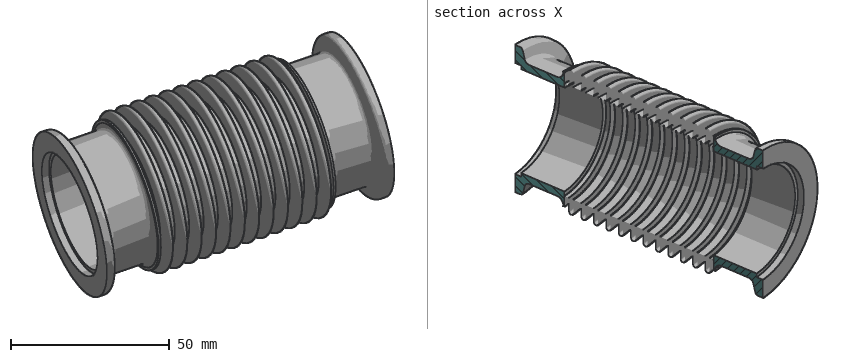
import cadquery as cq
import math

total_length = 100.0
fitting_length = 20.0
bellows_length = total_length - 2 * fitting_length

bore_diameter = 38.5
seat_diameter = 41.2
seat_depth = 2.5
flange_diameter = 55.0
flange_rim_width = 3.0
flange_back_angle = 15.0
flange_edge_radius = 1.5
flange_root_radius = 1.5
neck_diameter = 44.5
collar_diameter = 50.0
collar_width = 0.75
collar_cone_diameter = 48.0
collar_back_angle = 30.0
collar_root_radius = 1.8

wall = 0.15
root_diameter = 42.0
crest_diameter = 54.0
fold_count = 12
fold_width = 2.0
fold_pitch = bellows_length / fold_count
fold_offset = 0.15


def ring_edges(radius, distance):
    """Selector box catching the circular edges of a given radius at a given place along Y."""
    margin = 0.05
    reach = radius + margin
    return cq.selectors.BoxSelector(
        (-reach, distance - margin, -reach),
        (reach, distance + margin, reach),
        boundingbox=True,
    )


def along_y(diameter, length):
    """Plain cylinder from Y = 0 toward +Y."""
    return cq.Workplane("XZ").circle(diameter / 2).extrude(-length)


def cone_rise(radial_run, angle):
    """Distance along Y that a cone climbs over a radial run, its angle being to the radial."""
    return radial_run * math.tan(math.radians(angle))


def make_fitting():
    """End fitting with its mouth at Y = 0, reaching to +Y."""
    neck = neck_diameter / 2
    flange = flange_diameter / 2
    collar = collar_diameter / 2
    cone_end = collar_cone_diameter / 2
    flange_root = flange_rim_width + cone_rise(flange - neck, flange_back_angle)
    collar_start = fitting_length - collar_width
    collar_root = collar_start - cone_rise(cone_end - neck, collar_back_angle)

    fitting = (
        cq.Workplane("XY")
        .lineTo(flange, 0)
        .lineTo(flange, flange_rim_width)
        .lineTo(neck, flange_root)
        .lineTo(neck, collar_root)
        .lineTo(cone_end, collar_start)
        .lineTo(collar, collar_start)
        .lineTo(collar, fitting_length)
        .lineTo(0, fitting_length)
        .close()
        .revolve(360, (0, 0, 0), (0, 1, 0))
    )
    fitting = fitting.edges(ring_edges(flange, flange_rim_width)).fillet(flange_edge_radius)
    fitting = fitting.edges(ring_edges(neck, flange_root)).fillet(flange_root_radius)
    fitting = fitting.edges(ring_edges(neck, collar_root)).fillet(collar_root_radius)
    return fitting.cut(along_y(bore_diameter, fitting_length)).cut(along_y(seat_diameter, seat_depth))


def bellows_envelope(root, crest, width):
    """Solid of revolution: a straight cylinder with a full-round disc at every fold."""
    half_length = bellows_length / 2
    half_width = width / 2
    straight = crest - half_width
    outline = cq.Workplane("XY").moveTo(0, -half_length).lineTo(root, -half_length)
    for fold in range(fold_count):
        centre = (fold + 0.5) * fold_pitch - half_length + fold_offset
        outline = (
            outline.lineTo(root, centre - half_width)
            .lineTo(straight, centre - half_width)
            .threePointArc((crest, centre), (straight, centre + half_width))
            .lineTo(root, centre + half_width)
        )
    outline = outline.lineTo(root, half_length).lineTo(0, half_length).close()
    return outline.revolve(360, (0, 0, 0), (0, 1, 0))


def make_bellows():
    """Bellows of even wall thickness, with folds that are hollow inside."""
    root = root_diameter / 2
    crest = crest_diameter / 2
    outside = bellows_envelope(root, crest, fold_width)
    inside = bellows_envelope(root - wall, crest - wall, fold_width - 2 * wall)
    return outside.cut(inside)


bellows = make_bellows()
front_fitting = make_fitting().translate((0, -total_length / 2, 0))
back_fitting = front_fitting.mirror("XZ")

result = cq.Compound.makeCompound([bellows.val(), front_fitting.val(), back_fitting.val()])